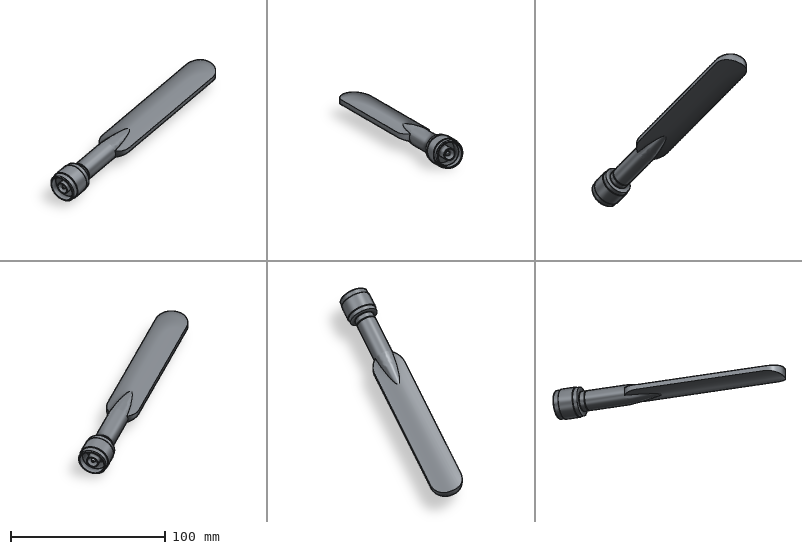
import cadquery as cq

total_length = 157.5

front_band_diameter = 19.0
grip_diameter = 20.0
front_band_end = 3.8
grip_end = 14.0
nut_end = 16.9
mouth_chamfer = 0.6
grip_chamfer = 0.3

bore_diameter = 16.0
bore_depth = 11.0
mouth_diameter = 16.5
mouth_depth = 4.3
sleeve_outer_diameter = 8.2
sleeve_inner_diameter = 7.0
sleeve_tip = 0.6
pin_diameter = 3.0
pin_tip_diameter = 1.5
pin_tip = 1.4
pin_taper_length = 1.5

neck_diameter = 12.6
neck_end = 17.3
collar_diameter = 13.2
collar_end = 20.6
groove_width = 0.5
stem_diameter = 13.2
stem_end = 48.8

nose_middle = (4.96, 62.5)
nose_tip = (2.8, 73.2)

blade_width = 21.5
blade_crest_thickness = 6.1
blade_edge_thickness = 3.3
tip_corner_radius = 9.8
root_shoulder = 58.5
root_arc_radius = 12.5


def revolve_about_y(profile):
    """Turn a closed (radius, Y) profile about the Y axis."""
    return profile.close().revolve(360, (0, 0, 0), (0, 1, 0))


def cylinder(diameter, start, end):
    """Round bar on the Y axis between two positions."""
    bar = cq.Workplane("XZ", origin=(0, start, 0)).circle(diameter / 2)
    return bar.extrude(start - end)


def make_nut():
    front_band = cylinder(front_band_diameter, 0, front_band_end).faces("<Y").chamfer(mouth_chamfer)
    grip = cylinder(grip_diameter, front_band_end, grip_end).edges().chamfer(grip_chamfer)
    rear_band = cylinder(front_band_diameter, grip_end, nut_end)
    bore = cylinder(bore_diameter, 0, bore_depth)
    mouth = cylinder(mouth_diameter, 0, mouth_depth)
    return front_band.union(grip).union(rear_band).cut(bore).cut(mouth)


def make_contacts():
    """Hollow sleeve and tapered centre pin standing on the socket floor."""
    sleeve = cylinder(sleeve_outer_diameter, sleeve_tip, bore_depth)
    sleeve = sleeve.cut(cylinder(sleeve_inner_diameter, sleeve_tip, bore_depth))
    pin = revolve_about_y(
        cq.Workplane("XY")
        .moveTo(0, pin_tip)
        .lineTo(pin_tip_diameter / 2, pin_tip)
        .lineTo(pin_diameter / 2, pin_tip + pin_taper_length)
        .lineTo(pin_diameter / 2, bore_depth)
        .lineTo(0, bore_depth)
    )
    return sleeve, pin


def make_stem():
    neck = cylinder(neck_diameter, nut_end, collar_end + groove_width)
    collar = cylinder(collar_diameter, neck_end, collar_end)
    body = cylinder(stem_diameter, collar_end + groove_width, stem_end)
    return neck.union(collar).union(body)


def make_nose():
    return revolve_about_y(
        cq.Workplane("XY")
        .moveTo(0, stem_end)
        .lineTo(stem_diameter / 2, stem_end)
        .threePointArc(nose_middle, nose_tip)
        .lineTo(0, nose_tip[1])
    )


def make_blade():
    """Lens-section bar trimmed to a plan outline with rounded tip and root."""
    half_width = blade_width / 2
    half_crest = blade_crest_thickness / 2
    half_edge = blade_edge_thickness / 2
    lens_bar = (
        cq.Workplane("XZ", origin=(0, stem_end, 0))
        .moveTo(-half_width, -half_edge)
        .threePointArc((0, -half_crest), (half_width, -half_edge))
        .lineTo(half_width, half_edge)
        .threePointArc((0, half_crest), (-half_width, half_edge))
        .close()
        .extrude(stem_end - total_length)
    )

    root_rise = root_shoulder - stem_end
    root_half_width = half_width - root_arc_radius + (root_arc_radius**2 - root_rise**2) ** 0.5
    tip_shoulder = total_length - tip_corner_radius
    tip_half_flat = half_width - tip_corner_radius
    outline = (
        cq.Workplane("XY", origin=(0, 0, -half_crest))
        .moveTo(-root_half_width, stem_end)
        .lineTo(root_half_width, stem_end)
        .radiusArc((half_width, root_shoulder), -root_arc_radius)
        .lineTo(half_width, tip_shoulder)
        .radiusArc((tip_half_flat, total_length), -tip_corner_radius)
        .lineTo(-tip_half_flat, total_length)
        .radiusArc((-half_width, tip_shoulder), -tip_corner_radius)
        .lineTo(-half_width, root_shoulder)
        .radiusArc((-root_half_width, stem_end), -root_arc_radius)
        .close()
        .extrude(blade_crest_thickness)
    )
    return lens_bar.intersect(outline)


sleeve, pin = make_contacts()
result = make_nut().union(sleeve).union(pin).union(make_stem()).union(make_nose()).union(make_blade())